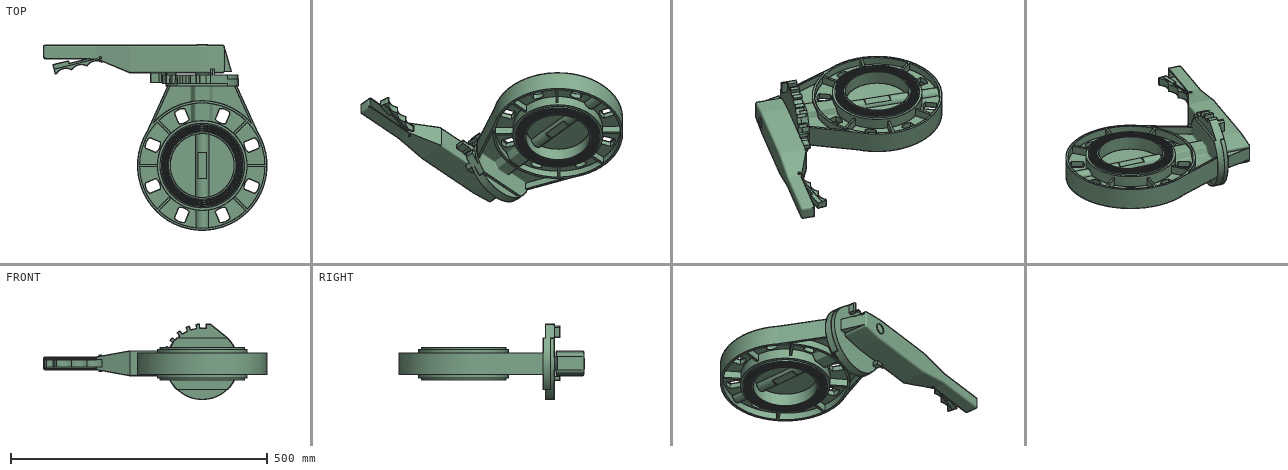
import cadquery as cq
import math

rim_radius = 126.5
rim_wall = 4.5
rim_half_height = 21.5
web_half_thickness = 5.5
hub_radius = 175.0 / 2
hub_half_height = 28.0
face_radius = 165.0 / 2
face_half_height = 32.0
bore_radius = 125.0 / 2
groove_count = 4
groove_width = 2.0
groove_pitch = 4.0
groove_depth = 2.0
first_groove_radius = 66.0
spoke_angles = (0, 45, 135, 180, 225, 315)
spoke_width = 4.5
bolt_count = 8
bolt_circle_radius = 104.5
bolt_slot_length = 28.0
bolt_slot_width = 22.0
bolt_slot_bulge = 3.0

neck_top_y = 155.5
neck_top_half_width = 67.2
neck_foot_y = 67.2
neck_wall = 4.5
neck_fillet = 2.0
ridge_foot_half_width = 26.0
ridge_base_half_width = 22.0
ridge_top_half_width = 13.5
ridge_half_height = 18.5
ridge_fillet = 3.0

flange_radius = 70.7
flange_half_height = 50.5
flange_top_y = 169.5
plate_bottom_y = 160.0
plate_top_y = 177.3
plate_radius = 70.0
tooth_tip_radius = 77.5
tooth_width = 6.5
tooth_count = 6
tooth_pitch_angle = 15.0
first_tooth_angle = 6.6
lug_left_x = 7.5
lug_right_x = 16.0
lug_top_z = 77.3
end_lug_top_z = -5.5
end_lug_bottom_z = -14.5
end_lug_foot_z = -39.5
post_top_y = 188.0
post_thickness = 8.0
post_start = 51.5
post_length = 22.5

disc_half_thickness = 4.0
shaft_radius = 27.0 / 2
flat_half_width = 8.7
flat_half_length = 25.5
stem_end_radius = 10.5
stem_end_y = rim_radius + 110.0

handle_front_y = 180.8
handle_back_y = 235.5
grip_end_x = rim_radius - 436.5
grip_inner_x = -206.0
grip_front_y = 208.3
grip_half_height = 12.5
lever_outer_x = -141.0
lever_half_height = 24.5
taper_start_x = -2.0
lever_end_x = 43.2
lever_end_half_height = 18.8
back_rounding = 4.5
front_rounding = 3.0
handle_middle_z = 1.0
grip_lip = 2.0
grip_floor_y = 230.0
grip_floor_inset = 3.5
tail_tip_x = 57.0
tail_front_y = 183.5
tail_half_height = 13.0
pawl_outer_x = -101.0
pawl_front_y = 162.0
pawl_clearance = 1.5
pawl_outer_half_height = 4.5
pawl_tongue_half_height = 6.0
pawl_ramp_start_x = -84.5
pawl_ramp_end_x = -80.0

hinge_x = -199.0
hinge_y = 210.5
hinge_pin_radius = 2.0
hinge_pin_half_length = 16.0
trigger_angle = 13.9
trigger_length = 93.0
trigger_half_height = 7.5
bar_half_height = 6.5
bar_thickness = 4.0
bar_end_thickness = 9.0
bar_end_length = 31.5
scallop_count = 3
scallop_pitch = 30.5
scallop_inner_end = 1.5
scallop_cusp_depth = 9.5
scallop_crown_depth = 3.5


def prism_z(outline, half_height):
    """Extrude an XY outline equally above and below the XY plane."""
    return outline.extrude(2 * half_height).translate((0, 0, -half_height))


def disc_z(radius, half_height):
    """Cylinder along Z, centred on the origin."""
    return prism_z(cq.Workplane("XY").circle(radius), half_height)


def rod_y(radius, start_y, end_y):
    """Cylinder along Y between two Y positions."""
    return cq.Workplane("XZ").workplane(offset=-start_y).circle(radius).extrude(start_y - end_y)


def slab_y(outline, start_y, end_y):
    """Extrude an XZ outline from start_y to end_y."""
    return outline.extrude(start_y - end_y).translate((0, start_y, 0))


def block(x_range, y_range, z_range):
    """Box between the given limits."""
    spans = list(zip(x_range, y_range, z_range))
    size = [high - low for low, high in zip(*spans)]
    return cq.Workplane("XY").box(*size, centered=False).translate(spans[0])


def neck_outline(inset):
    """Trapezoid from the rim up to the flange, with both sides moved inward by inset."""
    foot_x = math.sqrt(rim_radius**2 - neck_foot_y**2) - inset
    top_x = neck_top_half_width - inset
    return (
        cq.Workplane("XY")
        .moveTo(-foot_x, neck_foot_y)
        .lineTo(-top_x, neck_top_y)
        .lineTo(top_x, neck_top_y)
        .lineTo(foot_x, neck_foot_y)
        .close()
    )


def pocket_space():
    """Open space inside the rim and inside the neck, at the full height of the rim."""
    inside_neck = prism_z(neck_outline(neck_wall), rim_half_height)
    inside_neck = inside_neck.cut(disc_z(rim_radius, rim_half_height))
    return disc_z(rim_radius - rim_wall, rim_half_height).union(inside_neck)


def neck_ridge():
    """Rib that carries the stem through the neck, blended into the web at its foot."""
    half = [
        (ridge_foot_half_width, 0), (ridge_foot_half_width, web_half_thickness),
        (ridge_base_half_width, web_half_thickness), (ridge_top_half_width, ridge_half_height),
    ]
    mirrored = [(-x, z) for x, z in reversed(half)]
    profile = cq.Workplane("XZ").polyline(half + mirrored).close()
    upper = slab_y(profile, hub_radius - 8.7, neck_top_y)
    corners = cq.selectors.BoxSelector(
        (-ridge_base_half_width - 0.5, 0, web_half_thickness - 0.5),
        (ridge_base_half_width + 0.5, neck_top_y, ridge_half_height + 0.5),
    )
    upper = upper.edges("|Y").edges(corners).fillet(ridge_fillet)
    return upper.union(upper.mirror("XY"))


def spokes():
    """Radial ribs between the hub and the rim."""
    middle = (hub_radius + rim_radius - rim_wall) / 2
    length = rim_radius - hub_radius
    rib = cq.Workplane("XY").box(length, spoke_width, 2 * rim_half_height).translate((middle, 0, 0))
    ribs = cq.Workplane("XY")
    for angle in spoke_angles:
        ribs = ribs.union(rib.rotate((0, 0, 0), (0, 0, 1), angle))
    return ribs


def bolt_slots():
    """Bolt openings with straight sides and bulged ends."""
    half_side = bolt_slot_length / 2 - bolt_slot_bulge
    half_width = bolt_slot_width / 2
    slot = (
        cq.Workplane("XY")
        .moveTo(-half_side, -half_width)
        .lineTo(half_side, -half_width)
        .threePointArc((bolt_slot_length / 2, 0), (half_side, half_width))
        .lineTo(-half_side, half_width)
        .threePointArc((-bolt_slot_length / 2, 0), (-half_side, -half_width))
        .close()
        .extrude(2 * rim_half_height)
        .translate((bolt_circle_radius, 0, -rim_half_height))
    )
    pitch = 360 / bolt_count
    slots = cq.Workplane("XY")
    for index in range(bolt_count):
        slots = slots.union(slot.rotate((0, 0, 0), (0, 0, 1), (index + 0.5) * pitch))
    return slots


def face_grooves():
    """Concentric sealing grooves in both end faces."""
    grooves = cq.Workplane("XY")
    for index in range(groove_count):
        inner = first_groove_radius + index * groove_pitch
        ring = cq.Workplane("XY").circle(inner + groove_width).circle(inner).extrude(groove_depth)
        grooves = grooves.union(ring.translate((0, 0, face_half_height - groove_depth)))
        grooves = grooves.union(ring.translate((0, 0, -face_half_height)))
    return grooves


def wheel_and_neck():
    """Flange wheel with web, rim, hub, spokes and bolt slots, joined to the walled neck."""
    outline = disc_z(rim_radius, rim_half_height).union(prism_z(neck_outline(0), rim_half_height))
    web_zone = prism_z(cq.Workplane("XY").rect(4 * rim_radius, 4 * rim_radius), web_half_thickness)
    body = outline.cut(pocket_space().cut(web_zone))
    body = body.union(neck_ridge()).union(spokes()).cut(bolt_slots())
    hub = disc_z(hub_radius, hub_half_height).union(disc_z(face_radius, face_half_height))
    return body.union(hub.cut(face_grooves()))


def plate_blank():
    """Round plate with a sloping lug at each end of its row of teeth, as high as the posts."""
    shoulder_x = math.sqrt(flange_radius**2 - flange_half_height**2)
    start_lug = [(lug_left_x, 0), (lug_left_x, lug_top_z), (lug_right_x, lug_top_z),
                 (shoulder_x, flange_half_height), (shoulder_x, 0)]
    foot_x = -math.sqrt(plate_radius**2 - end_lug_foot_z**2)
    end_lug = [(0, end_lug_top_z), (-lug_top_z, end_lug_top_z), (-lug_top_z, end_lug_bottom_z),
               (foot_x, end_lug_foot_z), (0, end_lug_foot_z)]
    blank = rod_y(plate_radius, plate_bottom_y, post_top_y)
    for lug in (start_lug, end_lug):
        outline = cq.Workplane("XZ").polyline(lug).close()
        blank = blank.union(slab_y(outline, plate_bottom_y, post_top_y))
    return blank


def ratchet_teeth():
    """Square teeth stepped round the -X side of the plate."""
    tooth = block(
        (-tooth_width / 2, tooth_width / 2),
        (plate_bottom_y, plate_top_y),
        (plate_radius - 4.5, tooth_tip_radius),
    )
    teeth = cq.Workplane("XY")
    for index in range(tooth_count):
        angle = first_tooth_angle + index * tooth_pitch_angle
        teeth = teeth.union(tooth.rotate((0, 0, 0), (0, 1, 0), -angle))
    return teeth


def stop_posts():
    """Two posts that stop the lever at the ends of its quarter turn."""
    across = (lug_right_x, lug_right_x + post_thickness)
    height = (plate_bottom_y, post_top_y)
    open_stop = block(across, height, (post_start, post_start + post_length))
    closed_stop = block(
        (-post_start - post_length, -post_start),
        height,
        (-lever_half_height - post_thickness, -lever_half_height),
    )
    return open_stop.union(closed_stop)


def mounting_head():
    """Flange, ratchet plate, teeth and stop posts."""
    flange = rod_y(flange_radius, neck_top_y, flange_top_y)
    side = (-flange_radius, flange_radius)
    flange = flange.intersect(
        block(side, (neck_top_y, flange_top_y), (-flange_half_height, flange_half_height))
    )
    blank = plate_blank()
    reach = (-2 * plate_radius, 2 * plate_radius)
    plate = blank.intersect(block(reach, (plate_bottom_y, plate_top_y), reach))
    posts = stop_posts().intersect(blank)
    return flange.union(plate).union(ratchet_teeth()).union(posts)


def make_housing():
    housing = wheel_and_neck().union(mounting_head())
    inner_half_width = neck_top_half_width - neck_wall
    for low, high in ((0, rim_half_height - 0.5), (0.5 - rim_half_height, 0)):
        flange_corner = cq.selectors.BoxSelector(
            (-inner_half_width, neck_top_y - 0.5, low), (inner_half_width, neck_top_y + 0.5, high)
        )
        housing = housing.edges(flange_corner).fillet(neck_fillet)
    housing = housing.cut(disc_z(bore_radius, face_half_height))
    return housing.cut(rod_y(shaft_radius, rim_wall - rim_radius, plate_top_y))


def make_disc():
    """Closed disc on a through shaft; the shaft has a flat on each side at mid-length."""
    disc = disc_z(bore_radius, disc_half_thickness)
    disc = disc.union(rod_y(shaft_radius, rim_wall - rim_radius, handle_front_y))
    disc = disc.union(rod_y(stem_end_radius, handle_front_y, stem_end_y))
    flat_z = math.sqrt(shaft_radius**2 - flat_half_width**2)
    flat = block(
        (-shaft_radius, shaft_radius), (-flat_half_length, flat_half_length), (flat_z, shaft_radius)
    )
    return disc.cut(flat).cut(flat.mirror("XY"))


def grip_channel():
    """Drafted trough in the grip, open towards -Y, that the trigger folds into."""
    mouth_length = grip_inner_x - grip_end_x - grip_lip
    mouth_height = 2 * (grip_half_height - grip_lip)
    return (
        cq.Workplane("XZ")
        .workplane(offset=-grip_front_y)
        .center(grip_inner_x - mouth_length / 2, 0)
        .rect(mouth_length, mouth_height)
        .workplane(offset=grip_front_y - grip_floor_y)
        .rect(mouth_length - 2 * grip_floor_inset, mouth_height - 2 * grip_floor_inset)
        .loft()
    )


def lever():
    """Lever whose depth (along Y) and height (along Z) both shrink towards the grip."""
    side = [
        (grip_end_x, handle_back_y), (grip_end_x, grip_front_y), (grip_inner_x, grip_front_y),
        (lever_outer_x, handle_front_y), (lever_end_x, handle_front_y), (lever_end_x, handle_back_y),
    ]
    upper = [
        (grip_end_x, grip_half_height), (grip_inner_x, grip_half_height),
        (lever_outer_x, lever_half_height), (taper_start_x, lever_half_height),
        (lever_end_x, lever_end_half_height),
    ]
    lower = [(x, -z) for x, z in reversed(upper)]
    depth = prism_z(cq.Workplane("XY").polyline(side).close(), lever_half_height)
    height = slab_y(cq.Workplane("XZ").polyline(upper + lower).close(), handle_front_y, handle_back_y)
    body = depth.intersect(height).faces(">Y or <X or >X").edges().fillet(back_rounding)
    return body.faces("<Y").edges("not <X").edges("not |Z").fillet(front_rounding)


def tail():
    """Sloping lip behind the stem end of the lever."""
    profile = [(lever_end_x - 4.5, handle_back_y - back_rounding), (lever_end_x, handle_back_y - back_rounding),
               (tail_tip_x, tail_front_y), (lever_end_x - 4.5, tail_front_y)]
    return prism_z(cq.Workplane("XY").polyline(profile).close(), tail_half_height)


def pawl():
    """Block under the lever whose thicker tongue sits between the last tooth and the end lug."""
    tip_x = -plate_radius - pawl_clearance
    upper = [
        (pawl_outer_x, pawl_outer_half_height), (pawl_ramp_start_x, pawl_outer_half_height),
        (pawl_ramp_end_x, pawl_tongue_half_height), (tip_x, pawl_tongue_half_height),
    ]
    lower = [(x, -z) for x, z in reversed(upper)]
    outline = cq.Workplane("XZ").polyline(upper + lower).close()
    return slab_y(outline, pawl_front_y, handle_front_y + front_rounding)


def trigger():
    """Scalloped finger trigger with a stepped bar behind it and its hinge pin."""
    bar = (
        cq.Workplane("XY")
        .polyline([
            (0, 0), (-trigger_length, 0), (-trigger_length, bar_end_thickness),
            (bar_end_length - trigger_length, bar_end_thickness),
            (bar_end_length - trigger_length, bar_thickness), (0, bar_thickness),
        ])
        .close()
    )
    bar = prism_z(bar, bar_half_height)
    grip = cq.Workplane("XY").moveTo(scallop_inner_end, 0).lineTo(scallop_inner_end, -scallop_cusp_depth)
    for index in range(scallop_count):
        start = scallop_inner_end - index * scallop_pitch
        grip = grip.threePointArc(
            (start - scallop_pitch / 2, -scallop_crown_depth), (start - scallop_pitch, -scallop_cusp_depth)
        )
    grip = grip.lineTo(-trigger_length, -scallop_cusp_depth).lineTo(-trigger_length, 0).close()
    grip = prism_z(grip, trigger_half_height)
    pin = disc_z(hinge_pin_radius, hinge_pin_half_length)
    whole = bar.union(grip).union(pin)
    return whole.rotate((0, 0, 0), (0, 0, 1), trigger_angle).translate((hinge_x, hinge_y, 0))


def make_handle():
    handle = lever().cut(grip_channel()).union(tail()).union(pawl()).union(trigger())
    handle = handle.translate((0, 0, handle_middle_z))
    return handle.cut(rod_y(stem_end_radius, handle_front_y, stem_end_y))


housing = make_housing()
disc = make_disc()
handle = make_handle()
result = cq.Compound.makeCompound([housing.val(), disc.val(), handle.val()])